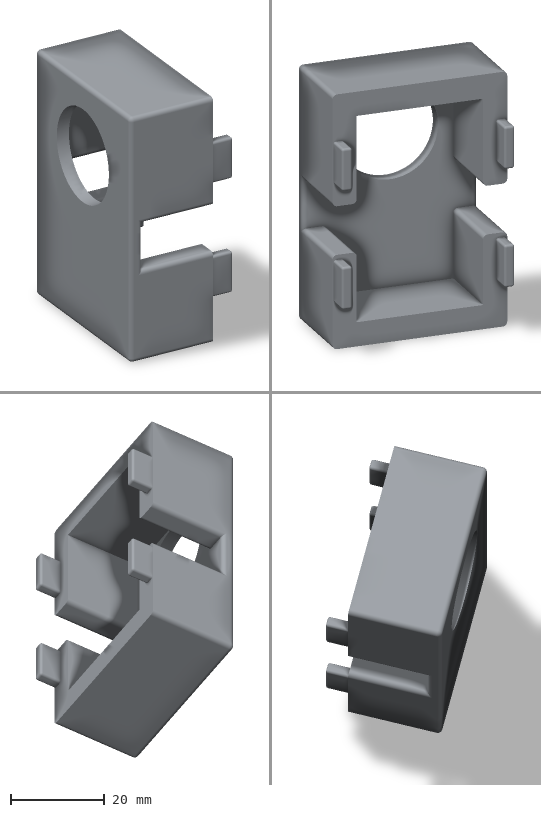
import cadquery as cq

WIDTH = 40.0
HEIGHT = 58.0
TOTAL_DEPTH = 25.5
TAB_LENGTH = 5.0
BODY_DEPTH = TOTAL_DEPTH - TAB_LENGTH
WALL = 5.5
FRONT_THICKNESS = 3.0
EDGE_RADIUS = 1.0

HOLE_DIAMETER = 22.0
HOLE_TOP_MARGIN = 6.0
HOLE_Z = HEIGHT / 2 - HOLE_TOP_MARGIN - HOLE_DIAMETER / 2

NOTCH_HEIGHT = 11.1
NOTCH_TOP_MARGIN = 25.45
NOTCH_TOP_Z = HEIGHT / 2 - NOTCH_TOP_MARGIN
NOTCH_Z = NOTCH_TOP_Z - NOTCH_HEIGHT / 2
SELECT_MARGIN = EDGE_RADIUS / 4

TAB_WIDTH = 2.3
TAB_HEIGHT = 9.6
TAB_INSET = 0.25
TAB_SPACING = 26.95
TAB_RADIUS = 0.5
TAB_ROOT = 2.3


def block(width, depth, height, x, front_y, z):
    """Box centred on x and z, running back from front_y."""
    return (
        cq.Workplane("XY")
        .box(width, depth, height, centered=(True, False, True))
        .translate((x, front_y, z))
    )


def make_shell():
    outer = block(WIDTH, BODY_DEPTH, HEIGHT, 0, 0, 0)
    outer = outer.edges("|Y or <Y").fillet(EDGE_RADIUS)
    cavity = block(
        WIDTH - 2 * WALL, BODY_DEPTH - FRONT_THICKNESS, HEIGHT - 2 * WALL, 0, FRONT_THICKNESS, 0
    )
    return outer.cut(cavity)


def front_hole():
    hole = cq.Workplane("XZ").center(0, HOLE_Z).circle(HOLE_DIAMETER / 2)
    return hole.extrude(-FRONT_THICKNESS)


def notch_rim(face_x, front_y):
    """Selector for the notch edges lying on one wall face, behind front_y and off the back rim."""
    reach = NOTCH_HEIGHT / 2 + SELECT_MARGIN
    return cq.selectors.BoxSelector(
        (face_x - SELECT_MARGIN, front_y, NOTCH_Z - reach),
        (face_x + SELECT_MARGIN, BODY_DEPTH - SELECT_MARGIN, NOTCH_Z + reach),
    )


def cut_notch(shell):
    """Cut the notch and round its edges on the outer and inner wall faces."""
    notch_depth = BODY_DEPTH - FRONT_THICKNESS
    notched = shell.cut(block(WIDTH, notch_depth, NOTCH_HEIGHT, 0, FRONT_THICKNESS, NOTCH_Z))

    behind_plate = FRONT_THICKNESS + EDGE_RADIUS
    for side in (-1, 1):
        outer_x = side * WIDTH / 2
        inner_x = side * (WIDTH / 2 - WALL)
        notched = notched.edges(notch_rim(outer_x, FRONT_THICKNESS / 2)).fillet(EDGE_RADIUS)
        notched = notched.edges(notch_rim(inner_x, behind_plate)).edges("|Y").fillet(EDGE_RADIUS)
    return notched


def add_tabs(body):
    """Tabs start inside the wall so that only their rounded ends stand out."""
    tab_x = WIDTH / 2 - TAB_INSET - TAB_WIDTH / 2
    root_y = BODY_DEPTH - TAB_ROOT
    for side in (-1, 1):
        for z in (-TAB_SPACING / 2, TAB_SPACING / 2):
            tab = block(TAB_WIDTH, TOTAL_DEPTH - root_y, TAB_HEIGHT, side * tab_x, root_y, z)
            body = body.union(tab.edges("|Y or >Y").fillet(TAB_RADIUS))
    return body


housing = make_shell().cut(front_hole())
result = add_tabs(cut_notch(housing))